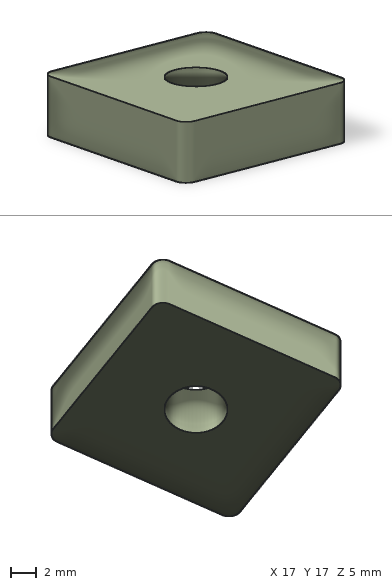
import cadquery as cq

side = 17.0
thickness = 5.0
corner_radius = 1.0
hole_diameter = 4.91

plate = (
    cq.Workplane("XY")
    .rect(side, side)
    .extrude(thickness)
    .edges("|Z")
    .fillet(corner_radius)
)

result = plate.faces(">Z").workplane().hole(hole_diameter)